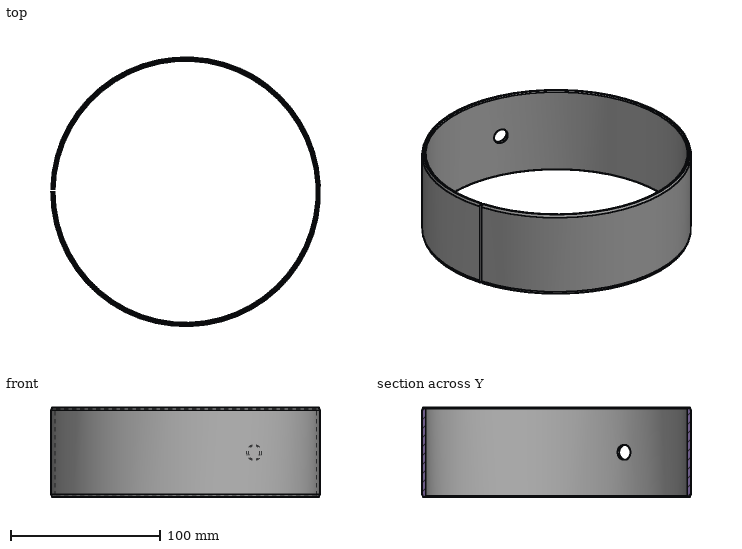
import cadquery as cq

outer_diameter = 180.0
height = 60.0
wall = 2.5
outer_radius = outer_diameter / 2
inner_radius = outer_radius - wall

outer_bevel_width = 0.7
outer_bevel_height = 2.0
inner_bevel = 0.9

start_angle = 180.0
slit_angle = 1.0
end_angle = start_angle - slit_angle

hole_diameter = 10.0
hole_angle = end_angle - 360 / 3


def make_ring():
    """Sweep the bevelled wall section around Z, leaving the slit open."""
    top = height / 2
    section = [
        (inner_radius + inner_bevel, -top),
        (outer_radius - outer_bevel_width, -top),
        (outer_radius, -top + outer_bevel_height),
        (outer_radius, top - outer_bevel_height),
        (outer_radius - outer_bevel_width, top),
        (inner_radius + inner_bevel, top),
        (inner_radius, top - inner_bevel),
        (inner_radius, -top + inner_bevel),
    ]
    profile = cq.Workplane("XZ").polyline(section).close()
    ring = profile.revolve(360 - slit_angle, (0, 0), (0, 1))
    return ring.rotate((0, 0, 0), (0, 0, 1), start_angle)


def make_hole():
    """Cylinder from the axis out through one side of the wall."""
    cylinder = cq.Workplane("YZ").circle(hole_diameter / 2).extrude(outer_diameter)
    return cylinder.rotate((0, 0, 0), (0, 0, 1), hole_angle)


result = make_ring().cut(make_hole())